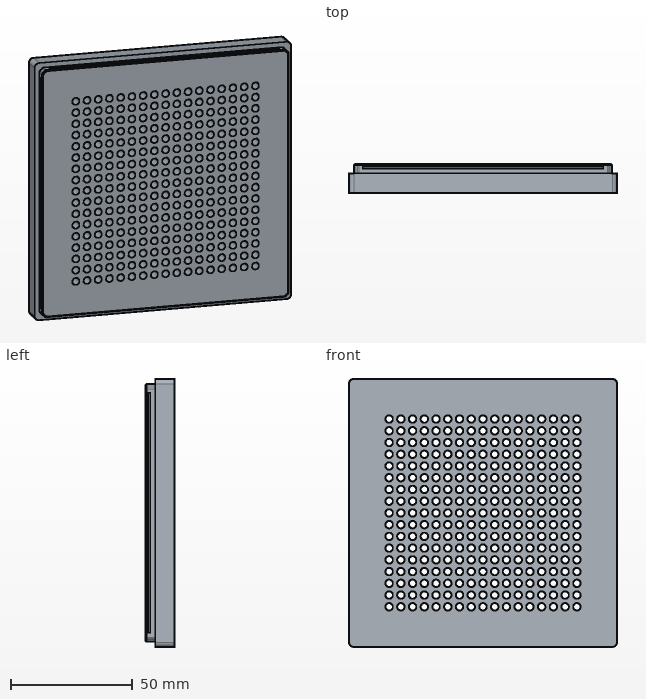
import cadquery as cq

plate_side = 110.0
plate_thickness = 8.0
plate_corner_radius = 2.0

total_depth = 12.0
step_inset = 2.1
step_side = plate_side - 2 * step_inset
step_height = total_depth - plate_thickness
step_corner_chamfer = 1.5
step_corner_radius = 1.0
back_edge_chamfer = 0.5

groove_length = 98.5
groove_depth = 0.3
groove_front = total_depth - 2.1
groove_slope_start = total_depth - 1.2
groove_back = groove_slope_start + groove_depth

hole_diameter = 3.0
holes_per_side = 17
hole_grid_span = 77.0
hole_pitch = hole_grid_span / (holes_per_side - 1)


def square_block(side, front, depth):
    """Square block centred on the Y axis, running back from Y = front."""
    block = cq.Workplane("XY").box(side, depth, side, centered=(True, False, True))
    return block.translate((0, front, 0))


def make_plate():
    """Front plate with rounded corners."""
    plate = square_block(plate_side, 0, plate_thickness)
    return plate.edges("|Y").fillet(plate_corner_radius)


def make_step():
    """Step with chamfered corners, blended into the sides by small radii."""
    step = square_block(step_side, plate_thickness, step_height)
    step = step.edges("|Y").chamfer(step_corner_chamfer)
    step = step.edges("|Y").fillet(step_corner_radius)
    return step.faces(">Y").chamfer(back_edge_chamfer)


def make_groove():
    """Cutter for the top groove: square front wall, flat floor, sloped back wall."""
    outer = step_side / 2
    floor = outer - groove_depth
    profile = [
        (groove_front, outer),
        (groove_front, floor),
        (groove_slope_start, floor),
        (groove_back, outer),
    ]
    return cq.Workplane("YZ").polyline(profile).close().extrude(groove_length / 2, both=True)


def make_holes():
    """Cutters for the hole grid, long enough to pass right through the part."""
    return (
        cq.Workplane("XZ")
        .rarray(hole_pitch, hole_pitch, holes_per_side, holes_per_side)
        .circle(hole_diameter / 2)
        .extrude(-total_depth)
    )


result = make_plate().union(make_step())
for side_angle in (0, 90, 180, 270):
    result = result.cut(make_groove().rotate((0, 0, 0), (0, 1, 0), side_angle))
result = result.cut(make_holes())